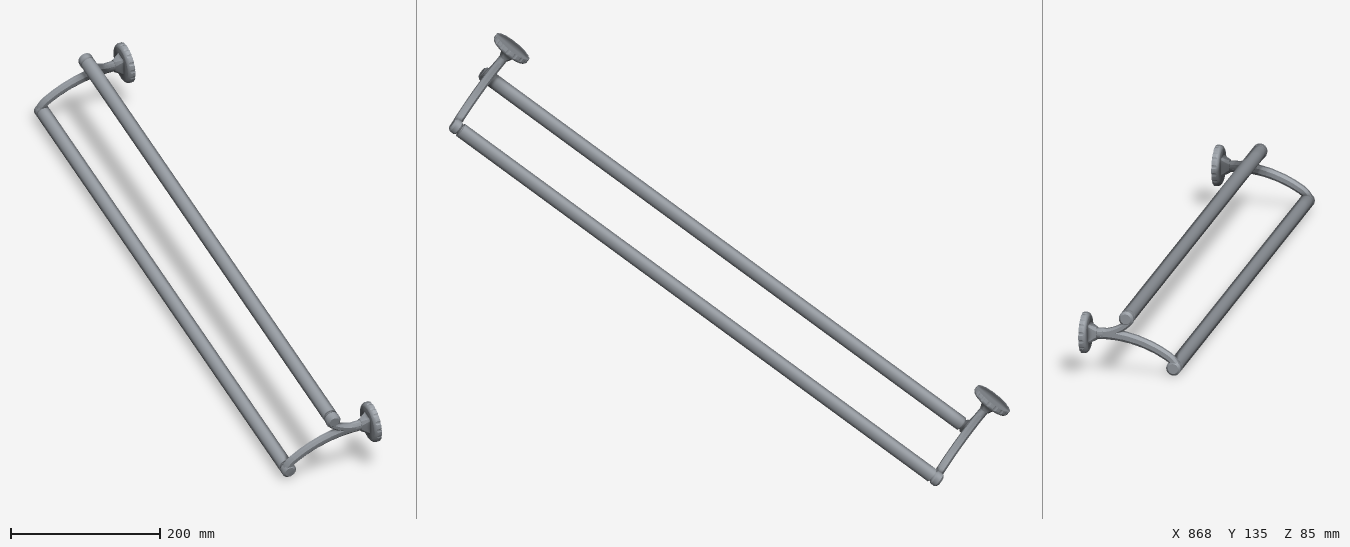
import cadquery as cq


OVERALL_LENGTH = 868.0
OVERALL_DEPTH = 135.0

FLANGE_RADIUS = 28.0
FLANGE_THICKNESS = 9.5
RIM_THICKNESS = 5.0
SHOULDER_POINT = (26.5, -8.0)
FACE_RADIUS = 23.0
FLUTE_COUNT = 16
FLUTE_RADIUS = 4.0
FLUTE_DEPTH = 1.0

BAR_RADIUS = 10.0
BAR_SPACING = 65.0
KNOB_WIDTH = 13.0
KNOB_CHAMFER = 3.0
BAR_NECK_LENGTH = 1.3
BAR_NECK_RADIUS = 8.0

NECK_BASE_WIDTH = 20.0
NECK_BASE_HEIGHT = 26.0
NECK_BASE_FLAT_RATIO = 0.8
NECK_LIP_WIDTH = 13.0
NECK_LIP_HEIGHT = 17.0
NECK_END = 20.0
COLLAR_WIDTH = 12.0
COLLAR_HEIGHT = 16.0
COLLAR_END = 29.0

ARM_FLAT_RATIO = 0.45
ARM_WIDTH = 11.0
ARM_ROOT_HEIGHT = 15.0
ARM_TIP_HEIGHT = 11.0
BRANCH_ROOT_HEIGHT = 13.0
BRANCH_TIP_HEIGHT = 9.0

UPPER_BAR_Z = 23.0
LOWER_BAR = (BAR_RADIUS - OVERALL_DEPTH, UPPER_BAR_Z - BAR_SPACING)
UPPER_BAR = (LOWER_BAR[0] + BAR_SPACING, UPPER_BAR_Z)
BAR_CENTRES = (UPPER_BAR, LOWER_BAR)

BRACKET_X = OVERALL_LENGTH / 2 - FLANGE_RADIUS

ARM_ROOT = (-17.0, 0)
LOWER_ARM_MIDDLE = (-76.0, -7.0)
LOWER_ARM_BEND = (-117.0, -26.0)
LOWER_ARM_TIP = (-129.0, -42.0)
UPPER_ARM_MIDDLE = (-47.0, 6.0)
UPPER_ARM_TIP = (-66.0, 20.0)


def flange():
    """Round wall plate with a rounded front edge and a fluted rim."""
    plate = (
        cq.Workplane("XY")
        .lineTo(FLANGE_RADIUS, 0)
        .lineTo(FLANGE_RADIUS, -RIM_THICKNESS)
        .threePointArc(SHOULDER_POINT, (FACE_RADIUS, -FLANGE_THICKNESS))
        .lineTo(0, -FLANGE_THICKNESS)
        .close()
        .revolve(360, (0, 0, 0), (0, 1, 0))
    )
    flutes = (
        cq.Workplane("XZ")
        .polarArray(FLANGE_RADIUS + FLUTE_RADIUS - FLUTE_DEPTH, 180 / FLUTE_COUNT, 360, FLUTE_COUNT)
        .circle(FLUTE_RADIUS)
        .extrude(FLANGE_THICKNESS)
    )
    return plate.cut(flutes)


def bevelled_section(plane, width, height, flat_ratio):
    """Rectangle with bevelled corners, drawn as a wire on the given plane."""
    half_width = width / 2
    half_height = height / 2
    flat_x = half_width * flat_ratio
    flat_y = half_height * flat_ratio
    corners = [
        (half_width, flat_y),
        (flat_x, half_height),
        (-flat_x, half_height),
        (-half_width, flat_y),
    ]
    opposite_corners = [(-x, -y) for x, y in corners]
    return cq.Workplane(plane).polyline(corners + opposite_corners).close().val()


def neck():
    """Boss that narrows from the flange face, followed by an elliptical collar."""
    base = cq.Plane((0, -FLANGE_THICKNESS, 0), (1, 0, 0), (0, -1, 0))
    lip = cq.Plane((0, -NECK_END, 0), (1, 0, 0), (0, -1, 0))
    boss = (
        cq.Workplane(base)
        .add(bevelled_section(base, NECK_BASE_WIDTH, NECK_BASE_HEIGHT, NECK_BASE_FLAT_RATIO))
        .add(bevelled_section(lip, NECK_LIP_WIDTH, NECK_LIP_HEIGHT, ARM_FLAT_RATIO))
        .toPending()
        .loft()
    )
    collar = cq.Workplane("XZ").ellipse(COLLAR_WIDTH / 2, COLLAR_HEIGHT / 2).extrude(COLLAR_END)
    return boss.union(collar)


def tapered_arm(path, root_height, tip_height):
    """Sweep the arm section along a path in the YZ plane, tapering to the tip."""
    spine = path.val()
    root = cq.Plane(spine.startPoint(), (1, 0, 0), spine.tangentAt(0))
    tip = cq.Plane(spine.endPoint(), (1, 0, 0), spine.tangentAt(1))
    return (
        cq.Workplane(root)
        .add(bevelled_section(root, ARM_WIDTH, root_height, ARM_FLAT_RATIO))
        .add(bevelled_section(tip, ARM_WIDTH, tip_height, ARM_FLAT_RATIO))
        .toPending()
        .sweep(path, multisection=True)
    )


def lower_arm():
    """Long arm that sags in a wide arc and curls down into the lower knob."""
    path = (
        cq.Workplane("YZ")
        .moveTo(*ARM_ROOT)
        .threePointArc(LOWER_ARM_MIDDLE, LOWER_ARM_BEND)
        .tangentArcPoint(LOWER_ARM_TIP, relative=False)
    )
    return tapered_arm(path.wire(), ARM_ROOT_HEIGHT, ARM_TIP_HEIGHT)


def upper_arm():
    """Short branch that rises in one arc to the front of the upper knob."""
    path = cq.Workplane("YZ").moveTo(*ARM_ROOT).threePointArc(UPPER_ARM_MIDDLE, UPPER_ARM_TIP)
    return tapered_arm(path.wire(), BRANCH_ROOT_HEIGHT, BRANCH_TIP_HEIGHT)


def knob(centre):
    """Disc with bevelled rims that ends an arm."""
    return (
        cq.Workplane("YZ", origin=(-KNOB_WIDTH / 2, 0, 0))
        .center(*centre)
        .circle(BAR_RADIUS)
        .extrude(KNOB_WIDTH)
        .edges()
        .chamfer(KNOB_CHAMFER)
    )


def bracket():
    """One complete bracket centred on X = 0."""
    body = flange().union(neck()).union(lower_arm()).union(upper_arm())
    for centre in BAR_CENTRES:
        body = body.union(knob(centre))
    return body


def bar(centre):
    """Bar on a slimmer core rod, which shows as a neck against each knob."""
    rod_half = BRACKET_X - KNOB_WIDTH / 2
    bar_half = rod_half - BAR_NECK_LENGTH
    section = cq.Workplane("YZ").center(*centre)
    rod = section.circle(BAR_NECK_RADIUS).extrude(rod_half, both=True)
    return rod.union(section.circle(BAR_RADIUS).extrude(bar_half, both=True))


result = bracket().translate((-BRACKET_X, 0, 0)).union(bracket().translate((BRACKET_X, 0, 0)))
for bar_centre in BAR_CENTRES:
    result = result.union(bar(bar_centre))